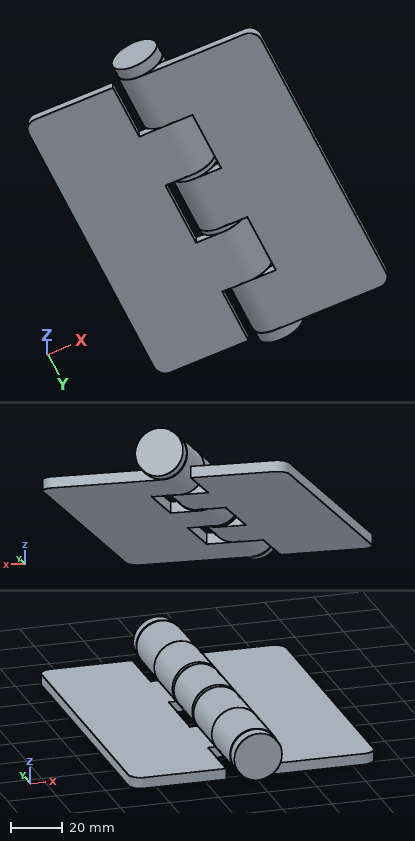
import cadquery as cq

pin_length = 135.0
head_length = 5.0
head_diameter = 19.5
shaft_diameter = 10.8
knuckle_diameter = 20.0
washer_diameter = 20.0
washer_thickness = 2.0
leaf_span = 100.0
leaf_thickness = 4.6
corner_radius = 5.0
notch_edge = 11.5
knuckle_count = 5

barrel_length = pin_length - 2 * head_length
knuckle_length = (barrel_length - 2 * washer_thickness) / knuckle_count
middle_end = knuckle_length / 2
inner_start = middle_end + washer_thickness
inner_end = inner_start + knuckle_length
barrel_end = barrel_length / 2

left_knuckles = [(-inner_end, -inner_start), (inner_start, inner_end)]
right_knuckles = [(-barrel_end, -inner_end), (-middle_end, middle_end), (inner_end, barrel_end)]

leaf_bottom = -knuckle_diameter / 2


def cylinder(diameter, start, end):
    """Cylinder on the pin axis between two Y positions."""
    return cq.Workplane("XZ", origin=(0, start, 0)).circle(diameter / 2).extrude(start - end)


def leaf_slab(inner_x, outer_x, start, end):
    """Flat piece of leaf between two X and two Y positions."""
    return (
        cq.Workplane("XY", origin=(0, 0, leaf_bottom))
        .moveTo((inner_x + outer_x) / 2, (start + end) / 2)
        .rect(abs(outer_x - inner_x), end - start)
        .extrude(leaf_thickness)
    )


def make_leaf(side, knuckles):
    """Leaf with its knuckles; side is -1 for the -X leaf and +1 for the +X leaf."""
    outer_corners = "|Z and <X" if side < 0 else "|Z and >X"
    leaf = leaf_slab(side * notch_edge, side * leaf_span / 2, -barrel_end, barrel_end)
    leaf = leaf.edges(outer_corners).fillet(corner_radius)
    for start, end in knuckles:
        leaf = leaf.union(leaf_slab(0, side * notch_edge, start, end))
        leaf = leaf.union(cylinder(knuckle_diameter, start, end))
    bore = cylinder(shaft_diameter, -barrel_end, barrel_end)
    return leaf.cut(bore)


def make_washer(start):
    """Ring around the shaft, starting at the given Y position."""
    end = start + washer_thickness
    return cylinder(washer_diameter, start, end).cut(cylinder(shaft_diameter, start, end))


def make_pin():
    """Shaft through all the knuckles, with a round head at each end."""
    pin = cylinder(shaft_diameter, -pin_length / 2, pin_length / 2)
    for start in (-pin_length / 2, barrel_end):
        pin = pin.union(cylinder(head_diameter, start, start + head_length))
    return pin


left_leaf = make_leaf(-1, left_knuckles)
right_leaf = make_leaf(1, right_knuckles)
washers = [make_washer(start) for start in (-inner_start, middle_end)]
pin = make_pin()

result = cq.Compound.makeCompound(
    [left_leaf.val(), right_leaf.val(), pin.val(), *[washer.val() for washer in washers]]
)